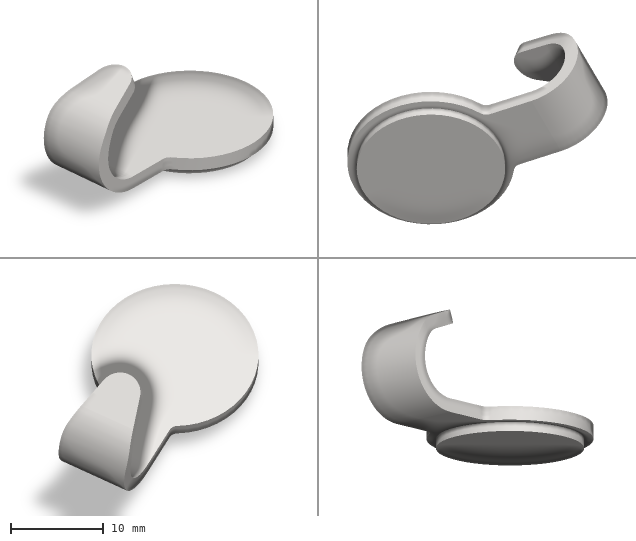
import cadquery as cq
import math

overall_length = 28.0
disc_diameter = 18.0
sheet_thickness = 1.5
neck_width = 8.0
neck_fillet = 1.0

bend_outer_radius = 5.45
bend_inner_radius = bend_outer_radius - sheet_thickness
tongue_angle = 20.0
tongue_length = 5.25

tip_radius = 2.3
taper_angle = 15.0
shoulder_radius = 7.0

pad_diameter = 16.0
pad_thickness = 1.0

disc_radius = disc_diameter / 2
bend_center_y = disc_radius - overall_length + bend_outer_radius
bend_center_z = bend_outer_radius
slope_cos = math.cos(math.radians(tongue_angle))
slope_sin = math.sin(math.radians(tongue_angle))


def bend_point(radius, angle):
    """Point (Y, Z) on the bend, with the angle measured from +Y towards +Z."""
    turn = math.radians(angle)
    return (bend_center_y + radius * math.cos(turn), bend_center_z + radius * math.sin(turn))


def along_tongue(point):
    """Point moved from the end of the bend to the tip of the tongue."""
    return (point[0] + tongue_length * slope_cos, point[1] + tongue_length * slope_sin)


bend_end_angle = 90.0 + tongue_angle
outer_bend_end = bend_point(bend_outer_radius, bend_end_angle)
inner_bend_end = bend_point(bend_inner_radius, bend_end_angle)
outer_tip = along_tongue(outer_bend_end)
inner_tip = along_tongue(inner_bend_end)


def make_plate():
    """Disc and straight neck with filleted inside corners."""
    disc = cq.Workplane("XY").circle(disc_radius).extrude(sheet_thickness)
    neck = cq.Workplane("XY").box(
        neck_width, -bend_center_y, sheet_thickness, centered=(True, False, False)
    ).translate((0, bend_center_y, 0))
    corner_y = -math.sqrt(disc_radius**2 - (neck_width / 2) ** 2)
    corner_zone = cq.selectors.BoxSelector(
        (-neck_width, corner_y - 0.28, -0.28), (neck_width, corner_y + 0.28, sheet_thickness + 0.28)
    )
    return disc.union(neck).edges("|Z").edges(corner_zone).fillet(neck_fillet)


def make_curl():
    """Full-width bend and sloping tongue."""
    return (
        cq.Workplane("YZ")
        .moveTo(bend_center_y, 0)
        .threePointArc(bend_point(bend_outer_radius, 180), outer_bend_end)
        .lineTo(*outer_tip)
        .lineTo(*inner_tip)
        .lineTo(*inner_bend_end)
        .threePointArc(bend_point(bend_inner_radius, 180), (bend_center_y, sheet_thickness))
        .close()
        .extrude(neck_width / 2, both=True)
    )


def make_tongue_trim():
    """Material beside the tapered outline, measured back from the tip along the tongue."""
    taper = math.radians(taper_angle)
    half_width = neck_width / 2
    tangent_x = tip_radius * math.cos(taper)
    tangent_y = -tip_radius * (1 - math.sin(taper))
    shoulder_y = tangent_y - (half_width - tangent_x) / math.tan(taper)
    shoulder_setback = shoulder_radius * math.tan(taper / 2)
    trim_end_y = shoulder_y - shoulder_setback
    taper_end_x = half_width - shoulder_setback * math.sin(taper)
    taper_end_y = shoulder_y + shoulder_setback * math.cos(taper)
    shoulder_mid_x = half_width - shoulder_radius * (1 - math.cos(taper / 2))
    shoulder_mid_y = trim_end_y + shoulder_radius * math.sin(taper / 2)

    tongue_plane = cq.Plane(
        origin=(0, *outer_tip), xDir=(1, 0, 0), normal=(0, -slope_sin, slope_cos)
    )
    outline = (
        cq.Workplane(tongue_plane)
        .moveTo(half_width, trim_end_y)
        .threePointArc((shoulder_mid_x, shoulder_mid_y), (taper_end_x, taper_end_y))
        .lineTo(tangent_x, tangent_y)
        .threePointArc((0, 0), (-tangent_x, tangent_y))
        .lineTo(-taper_end_x, taper_end_y)
        .threePointArc((-shoulder_mid_x, shoulder_mid_y), (-half_width, trim_end_y))
        .close()
        .extrude(-bend_outer_radius)
    )
    blank = (
        cq.Workplane(tongue_plane)
        .center(0, trim_end_y / 2)
        .rect(neck_width, -trim_end_y)
        .extrude(-bend_outer_radius)
    )
    return blank.cut(outline)


def make_hook():
    tongue = make_curl().cut(make_tongue_trim())
    return make_plate().union(tongue).solids()


def make_pad():
    return cq.Workplane("XY").circle(pad_diameter / 2).extrude(-pad_thickness)


hook = make_hook()
pad = make_pad()
result = cq.Compound.makeCompound([hook.val(), pad.val()])